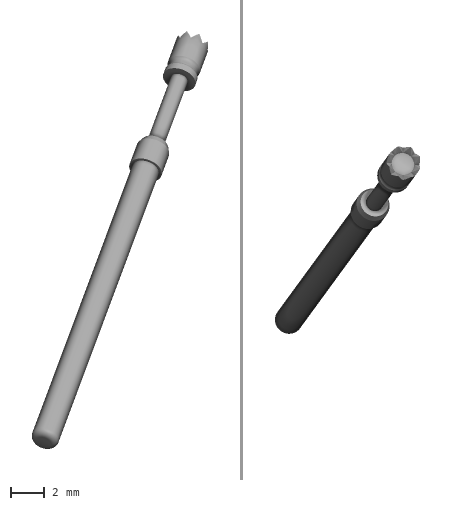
import cadquery as cq
import math

LENGTH = 32.3

HEAD_DIAMETER = 2.0
HEAD_RADIUS = HEAD_DIAMETER / 2
HEAD_LENGTH = 3.0
CROWN_LENGTH = 2.0
FLANGE_LENGTH = 0.42

NECK_DEPTH = 0.1

TOOTH_COUNT = 8
TOOTH_HEIGHT = 0.5
CUP_DEPTH = TOOTH_HEIGHT
CUP_FLOOR_RADIUS = 0.68

STEM_RADIUS = 0.52

COLLAR_RADIUS = HEAD_RADIUS
COLLAR_SETBACK = 8.3
COLLAR_LENGTH = 2.0
COLLAR_BEVEL_LENGTH = 0.4
COLLAR_BEVEL_DEPTH = 0.15
BARREL_DIAMETER = 1.65
BARREL_RADIUS = BARREL_DIAMETER / 2
TAIL_ROUNDING = 0.4


def turned_body():
    """Revolve the half profile of the whole pin, with plain crown rim, around the Y axis."""
    collar_front = LENGTH - COLLAR_SETBACK
    collar_back = collar_front - COLLAR_LENGTH
    flange_back = LENGTH - HEAD_LENGTH
    flange_front = flange_back + FLANGE_LENGTH
    crown_back = LENGTH - CROWN_LENGTH
    cup_floor = LENGTH - CUP_DEPTH

    tail_arc_inset = TAIL_ROUNDING * (1 - math.sqrt(0.5))
    neck_radius = HEAD_RADIUS - NECK_DEPTH
    neck_middle = (flange_front + crown_back) / 2
    neck_quarter = (crown_back - flange_front) / 4
    neck_arc_radius = neck_radius + NECK_DEPTH / 4

    profile = (
        cq.Workplane("XY")
        .moveTo(0, 0)
        .lineTo(BARREL_RADIUS - TAIL_ROUNDING, 0)
        .threePointArc((BARREL_RADIUS - tail_arc_inset, tail_arc_inset), (BARREL_RADIUS, TAIL_ROUNDING))
        .lineTo(BARREL_RADIUS, collar_back)
        .lineTo(COLLAR_RADIUS, collar_back)
        .lineTo(COLLAR_RADIUS, collar_front - COLLAR_BEVEL_LENGTH)
        .lineTo(COLLAR_RADIUS - COLLAR_BEVEL_DEPTH, collar_front)
        .lineTo(STEM_RADIUS, collar_front)
        .lineTo(STEM_RADIUS, flange_back)
        .lineTo(HEAD_RADIUS, flange_back)
        .lineTo(HEAD_RADIUS, flange_front)
        .threePointArc((neck_arc_radius, neck_middle - neck_quarter), (neck_radius, neck_middle))
        .threePointArc((neck_arc_radius, neck_middle + neck_quarter), (HEAD_RADIUS, crown_back))
        .lineTo(HEAD_RADIUS, LENGTH)
        .lineTo(CUP_FLOOR_RADIUS, cup_floor)
        .lineTo(0, cup_floor)
        .close()
    )
    return profile.revolve(360, (0, 0, 0), (0, 1, 0))


def tooth_groove():
    """V groove along Z across the full head; its width leaves pointed teeth at the rim."""
    half_width = HEAD_RADIUS * math.sin(math.pi / TOOTH_COUNT)
    return (
        cq.Workplane("XY")
        .moveTo(-half_width, LENGTH)
        .lineTo(0, LENGTH - TOOTH_HEIGHT)
        .lineTo(half_width, LENGTH)
        .close()
        .extrude(HEAD_DIAMETER, both=True)
    )


result = turned_body()

for index in range(TOOTH_COUNT // 2):
    groove_angle = index * 360 / TOOTH_COUNT
    result = result.cut(tooth_groove().rotate((0, 0, 0), (0, 1, 0), groove_angle))